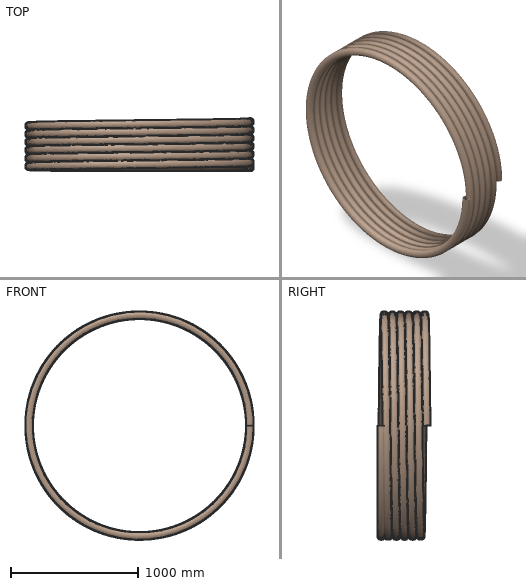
import cadquery as cq
import math

coil_outer_diameter = 1800.0
coil_overall_length = 420.17
pipe_outer_diameter = 63.0
pipe_wall = 5.0

total_turns = 6
level_end = 0.25
full_pitch_start = 0.5
climb_start = (level_end + full_pitch_start) / 2

pipe_inner_diameter = pipe_outer_diameter - 2 * pipe_wall
centerline_radius = (coil_outer_diameter - pipe_outer_diameter) / 2
centerline_length = coil_overall_length - pipe_outer_diameter
pitch = centerline_length / (total_turns - climb_start)

points_per_turn = 48
fit_tolerance = 0.001


def rise(turns):
    """Height of the centreline along the coil axis after a number of turns."""
    if turns <= level_end:
        return 0
    if turns < full_pitch_start:
        return pitch * (turns - level_end) ** 2 / (2 * (full_pitch_start - level_end))
    return pitch * (turns - climb_start)


def centerline_point(turns):
    """Point of the centreline, which winds about Z from +X."""
    angle = 2 * math.pi * turns
    return cq.Vector(
        centerline_radius * math.cos(angle),
        centerline_radius * math.sin(angle),
        rise(turns),
    )


def make_centerline():
    """Smooth curve through the level start, the transition and the full-pitch turns."""
    point_count = total_turns * points_per_turn + 1
    points = [centerline_point(i / points_per_turn) for i in range(point_count)]
    return cq.Workplane(obj=cq.Edge.makeSplineApprox(points, tol=fit_tolerance))


def sweep_disc(diameter, centerline):
    """Solid rod of the given diameter along the centreline, its round side in two halves."""
    radius = diameter / 2
    disc = (
        cq.Workplane("XZ")
        .center(centerline_radius, 0)
        .moveTo(radius, 0)
        .threePointArc((0, radius), (-radius, 0))
        .threePointArc((0, -radius), (radius, 0))
        .close()
    )
    return disc.sweep(centerline, isFrenet=True)


def pipe_end(outer_cap, inner_cap):
    """Ring-shaped end face between the end discs of the outer and inner rods."""
    return cq.Face.makeFromWires(outer_cap.outerWire(), [inner_cap.outerWire()])


def make_coil():
    """Hollow pipe bounded by the sides of an outer and an inner rod and two ring-shaped ends."""
    centerline = make_centerline()
    outer_rod = sweep_disc(pipe_outer_diameter, centerline)
    inner_rod = sweep_disc(pipe_inner_diameter, centerline)
    sides = outer_rod.faces("not %PLANE").vals() + inner_rod.faces("not %PLANE").vals()
    outer_caps = outer_rod.faces("%PLANE").sort(lambda cap: cap.Center().z).vals()
    inner_caps = inner_rod.faces("%PLANE").sort(lambda cap: cap.Center().z).vals()
    ends = [pipe_end(outer, inner) for outer, inner in zip(outer_caps, inner_caps)]
    shell = cq.Shell.makeShell(sides + ends)
    return cq.Workplane(obj=cq.Solid.makeSolid(shell).fix())


def lay_along_y(coil):
    """Turn the coil axis from Z to +Y, centred on the origin."""
    return coil.rotate((0, 0, 0), (1, 0, 0), -90).translate((0, -centerline_length / 2, 0))


result = lay_along_y(make_coil())